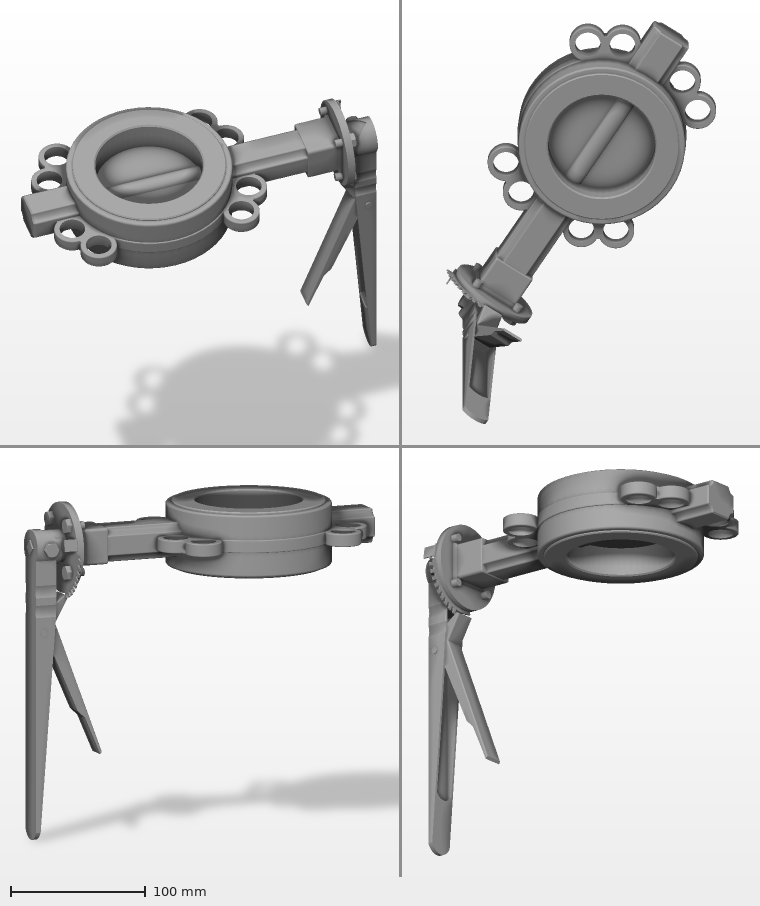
import cadquery as cq
import math


ring_dia = 123.5
ring_half_height = 23.3
ring_round = 1.5
seat_face_dia = 114.5
seat_face_half_height = 25.0
seat_face_chamfer = 0.8
bore_dia = 80.0
bore_chamfer = 1.0
band_dia = 125.5
band_half_height = 5.0
band_round = 0.8

lug_dia = 27.0
lug_hole_dia = 19.0
lug_edge_round = 0.95
lug_circle_radius = 74.0
lug_angles = (49, 69)
lug_web_radius = 79.0

neck_width = 31.0
neck_height = 26.0
neck_corner_groove = 5.5
neck_edge_round = 1.0
boss_end_chamfer = 1.0
boss_end_y = -95.5
block_start_y = 119.0
block_width = 32.5
block_height = 27.5
block_edge_round = 2.2
block_front_round = 1.0
block_foot_spread = 1.5
block_foot_height = 2.5
flange_dia = 65.0
flange_thickness = 4.5
flange_back_y = 145.0
flange_front_y = flange_back_y + flange_thickness

disc_thickness = 6.0
disc_bar_dia = 15.0
stem_dia = 11.7
stem_square = 8.0
stem_end_y = 175.5

plate_thickness = 1.0
plate_front_y = flange_front_y + plate_thickness
plate_rim_radius = 35.2
tooth_tip_radius = 39.5
notch_dia = 2.7
notch_centre_radius = 36.9
notch_pitch = 8.0
notch_count = 9
teeth_start_angle = 182
teeth_end_angle = 256
plate_rim_end_angle = 284
tab_angle = 170
tab_radius = 32.8
tab_width = 9.0
tab_end_y = 160.7
tab_root_radius = 34.1
tab_root_half_angle = 9

bolt_dia = 6.0
bolt_head_flats = 10.0
bolt_head_height = 4.0
bolt_head_chamfer = 0.5
bolt_head_turn = 15
flange_bolt_length = 11.0
bolt_spacing = 35.2

hub_dia = 27.0
hub_front_y = 174.5
hub_back_y = 154.5
collar_dia = 24.7
hub_window_width = 22.8
hub_window_side_y = 159.3
hub_window_peak_y = 170.2
handle_width = 20.5
handle_depth = 16.8
handle_end_z = -220.0
handle_taper_start_z = -42.3
handle_tip_thickness = 3.3
handle_back_y = hub_front_y - handle_depth
handle_floor_y = hub_front_y - handle_tip_thickness
handle_tip_arc_height = 6.8
handle_edge_round = 1.0
grip_depth = 1.0
grip_height = 9.2
grip_centres_z = (-32.0, -47.0)
channel_width = 16.8
channel_top_z = -32.5
channel_end_z = -178.3
channel_arc_height = 4.3
clamp_bolt_y = 164.2

trigger_width = 15.7
trigger_edge_round = 1.0
pivot_dia = 5.0
pivot_length = 22.2
pivot_y = 168.3
pivot_z = -63.1

flange_bolt_places = [
    (side_x * bolt_spacing / 2, side_z * bolt_spacing / 2)
    for side_x in (-1, 1)
    for side_z in (-1, 1)
]


def disc_along_z(diameter, half_height):
    """Cylinder on the flow axis, centred on the XY plane."""
    return cq.Workplane("XY", origin=(0, 0, -half_height)).circle(diameter / 2).extrude(2 * half_height)


def section_at(y):
    """Sketch plane across the stem axis; a negative extrusion runs towards +Y."""
    return cq.Workplane("XZ", origin=(0, y, 0))


def rod_along_y(diameter, start_y, end_y):
    return section_at(start_y).circle(diameter / 2).extrude(start_y - end_y)


def polar(radius, angle):
    turn = math.radians(angle)
    return (radius * math.cos(turn), radius * math.sin(turn))


def draw_sector(plane, radius, start_angle, end_angle):
    """Closed pie-shaped outline with its tip on the axis."""
    return (
        plane.lineTo(*polar(radius, start_angle))
        .threePointArc(
            polar(radius, (start_angle + end_angle) / 2),
            polar(radius, end_angle),
        )
        .close()
    )


def ring():
    body = disc_along_z(ring_dia, ring_half_height).edges("%CIRCLE").fillet(ring_round)
    seat = disc_along_z(seat_face_dia, seat_face_half_height).edges("%CIRCLE").chamfer(seat_face_chamfer)
    band = disc_along_z(band_dia, band_half_height).edges("%CIRCLE").fillet(band_round)
    return body.union(seat).union(band)


def lug_group():
    """Four lugs on the +Y side, joined by a web, with their holes still closed."""
    bottom = cq.Workplane("XY", origin=(0, 0, -band_half_height))
    web = draw_sector(bottom, lug_web_radius, lug_angles[0], 180 - lug_angles[0])
    web = web.extrude(2 * band_half_height)
    for angle in lug_angles:
        for place in (polar(lug_circle_radius, angle), polar(lug_circle_radius, 180 - angle)):
            lug = disc_along_z(lug_dia, band_half_height).edges("%CIRCLE").fillet(lug_edge_round)
            web = web.union(lug.translate((*place, 0)))
    return web


def lug_holes():
    places = []
    for angle in lug_angles:
        for turn in (angle, 180 - angle, 180 + angle, -angle):
            places.append(polar(lug_circle_radius, turn))
    return (
        cq.Workplane("XY", origin=(0, 0, -band_half_height))
        .pushPoints(places).circle(lug_hole_dia / 2)
        .extrude(2 * band_half_height)
    )


def neck():
    """Bar along Y whose four corners are hollowed by round grooves."""
    length = block_start_y - boss_end_y
    bar = section_at(boss_end_y).rect(neck_width, neck_height).extrude(-length)
    grooves = (
        section_at(boss_end_y)
        .rect(neck_width, neck_height, forConstruction=True).vertices()
        .circle(neck_corner_groove).extrude(-length)
    )
    bar = bar.cut(grooves).edges("|Y").fillet(neck_edge_round)
    return bar.faces("<Y").edges().chamfer(boss_end_chamfer)


def block_and_flange():
    block = (
        section_at(block_start_y).rect(block_width, block_height)
        .extrude(block_start_y - flange_back_y)
        .edges("|Y").fillet(block_edge_round)
        .faces("<Y").edges().fillet(block_front_round)
    )
    flange = rod_along_y(flange_dia, flange_back_y, flange_front_y)
    foot_slope = math.degrees(math.atan2(block_foot_spread, block_foot_height))
    foot = (
        section_at(flange_back_y)
        .rect(block_width + 2 * block_foot_spread, block_height + 2 * block_foot_spread)
        .extrude(block_foot_height, taper=foot_slope)
    )
    return flange.union(block).union(foot)


def flange_bolt_holes():
    return (
        section_at(plate_front_y).pushPoints(flange_bolt_places).circle(bolt_dia / 2)
        .extrude(flange_bolt_length)
    )


def make_housing():
    lugs = lug_group()
    body = ring().union(lugs).union(lugs.mirror("XZ")).union(neck()).union(block_and_flange())
    bore = disc_along_z(bore_dia, seat_face_half_height)
    for side in (-1, 1):
        mouth = cq.Workplane(
            cq.Solid.makeCone(
                bore_dia / 2,
                bore_dia / 2 + bore_chamfer,
                bore_chamfer,
                pnt=cq.Vector(0, 0, side * (seat_face_half_height - bore_chamfer)),
                dir=cq.Vector(0, 0, side),
            )
        )
        bore = bore.union(mouth)
    stem_hole = rod_along_y(stem_dia, 0, flange_front_y)
    return body.cut(bore).cut(stem_hole).cut(lug_holes()).cut(flange_bolt_holes())


def square_stem(start_y, end_y):
    return (
        section_at(start_y).rect(stem_square, stem_square).extrude(start_y - end_y)
        .rotate((0, 0, 0), (0, 1, 0), 45)
    )


def make_disc():
    plate = disc_along_z(bore_dia, disc_thickness / 2)
    bar = rod_along_y(disc_bar_dia, -bore_dia / 2, bore_dia / 2)
    bar = bar.intersect(disc_along_z(bore_dia, disc_bar_dia))
    stem = rod_along_y(stem_dia, 0, flange_front_y)
    return plate.union(bar).union(stem).union(square_stem(flange_front_y, stem_end_y))


def plate_sector(radius, start_angle, end_angle):
    return draw_sector(section_at(flange_front_y), radius, start_angle, end_angle).extrude(-plate_thickness)


def tooth_notches():
    """Round-bottomed slots, open at the tooth tips."""
    slot = (
        section_at(flange_front_y)
        .center(notch_centre_radius + notch_dia, 0)
        .slot2D(3 * notch_dia, notch_dia)
        .extrude(-plate_thickness)
    )
    first_angle = teeth_start_angle + notch_pitch / 2
    notches = [
        slot.rotate((0, 0, 0), (0, 1, 0), -(first_angle + index * notch_pitch)).val()
        for index in range(notch_count)
    ]
    return cq.Workplane(cq.Compound.makeCompound(notches))


def make_plate():
    plate = rod_along_y(flange_dia, flange_front_y, plate_front_y)
    plate = plate.union(plate_sector(plate_rim_radius, teeth_start_angle, plate_rim_end_angle))
    plate = plate.union(plate_sector(tooth_tip_radius, teeth_start_angle, teeth_end_angle))
    plate = plate.cut(tooth_notches())
    plate = plate.union(
        plate_sector(tab_root_radius, tab_angle - tab_root_half_angle, tab_angle + tab_root_half_angle)
    )
    tab = (
        section_at(flange_front_y).center(tab_radius, 0).rect(plate_thickness, tab_width)
        .extrude(flange_front_y - tab_end_y)
        .rotate((0, 0, 0), (0, 1, 0), -tab_angle)
    )
    plate = plate.union(tab)
    return plate.cut(square_stem(flange_front_y, plate_front_y)).cut(flange_bolt_holes())


def make_bolt(length):
    """Hexagon bolt on the Z axis: the head stands on Z = 0, the shank runs down."""
    head_corners = bolt_head_flats / math.cos(math.radians(30))
    head_blank = (
        cq.Workplane("XY").circle(head_corners / 2).extrude(bolt_head_height)
        .faces(">Z").edges().chamfer(bolt_head_chamfer, (head_corners - bolt_head_flats) / 2)
    )
    head = cq.Workplane("XY").polygon(6, head_corners).extrude(bolt_head_height).intersect(head_blank)
    return head.union(cq.Workplane("XY").circle(bolt_dia / 2).extrude(-length))


def make_flange_bolts():
    bolt = (
        make_bolt(flange_bolt_length)
        .rotate((0, 0, 0), (0, 0, 1), bolt_head_turn)
        .rotate((0, 0, 0), (1, 0, 0), -90)
    )
    return [bolt.translate((x, plate_front_y, z)) for x, z in flange_bolt_places]


def make_clamp_bolt():
    """Bolt through the -X side of the hub, ending at the corner of the square stem."""
    length = hub_dia / 2 - stem_square / math.sqrt(2)
    bolt = (
        make_bolt(length)
        .rotate((0, 0, 0), (0, 0, 1), 90)
        .rotate((0, 0, 0), (0, 1, 0), -90)
    )
    return bolt.translate((-hub_dia / 2, clamp_bolt_y, 0))


def hub():
    """Round hub with a pointed window in its top that opens onto a thinner collar."""
    outer = rod_along_y(hub_dia, hub_back_y, hub_front_y)
    half = hub_window_width / 2
    window = (
        cq.Workplane("XY")
        .moveTo(-half, hub_back_y)
        .lineTo(-half, hub_window_side_y)
        .lineTo(0, hub_window_peak_y)
        .lineTo(half, hub_window_side_y)
        .lineTo(half, hub_back_y)
        .close()
        .extrude(hub_dia / 2)
    )
    return outer.cut(window).union(rod_along_y(collar_dia, plate_front_y, hub_front_y))


def rounded_end(width, end_z, arc_height, start_y, end_y, top_z):
    """Straight-sided strip along Z whose lower end is an arc."""
    half = width / 2
    return (
        section_at(start_y)
        .moveTo(-half, top_z)
        .lineTo(-half, end_z + arc_height)
        .threePointArc((0, end_z), (half, end_z + arc_height))
        .lineTo(half, top_z)
        .close()
        .extrude(start_y - end_y)
    )


def grip_hollows():
    """Shallow round hollows in both side faces of the arm."""
    radius = (grip_height ** 2 / 4 + grip_depth ** 2) / (2 * grip_depth)
    offset = handle_width / 2 - grip_depth + radius
    places = [(side * offset, z) for side in (-1, 1) for z in grip_centres_z]
    return section_at(handle_back_y).pushPoints(places).circle(radius).extrude(-handle_depth)


def arm():
    """Straight upper arm and tapered lower arm, hollowed by a channel open towards -Y."""
    upper = (
        section_at(handle_back_y)
        .center(0, handle_taper_start_z / 2)
        .rect(handle_width, -handle_taper_start_z)
        .extrude(-handle_depth)
        .faces("<Y").edges("|Z").fillet(handle_edge_round)
    )
    lower_profile = (
        cq.Workplane("YZ")
        .moveTo(hub_front_y, handle_taper_start_z)
        .lineTo(hub_front_y, handle_end_z)
        .lineTo(handle_floor_y, handle_end_z)
        .lineTo(handle_back_y, handle_taper_start_z)
        .close()
        .extrude(handle_width / 2, both=True)
    )
    lower = lower_profile.intersect(
        rounded_end(handle_width, handle_end_z, handle_tip_arc_height, handle_back_y, hub_front_y, 0)
    )
    channel = rounded_end(
        channel_width, channel_end_z, channel_arc_height, handle_back_y, handle_floor_y, channel_top_z
    )
    return upper.union(lower).cut(grip_hollows()).cut(channel)


def make_handle():
    body = hub().union(arm())
    clamp_hole = (
        cq.Workplane("YZ").center(clamp_bolt_y, 0).circle(bolt_dia / 2).extrude(-hub_dia / 2)
    )
    return (
        body.cut(square_stem(plate_front_y, hub_front_y))
        .cut(clamp_hole)
        .cut(pivot(handle_width))
    )


def pivot(length):
    return (
        cq.Workplane("YZ").center(pivot_y, pivot_z).circle(pivot_dia / 2)
        .extrude(length / 2, both=True)
    )


def make_trigger():
    """Solid lever with a catch at the top and the finger grip below, on its own pivot."""
    lever = (
        cq.Workplane("YZ")
        .moveTo(150.0, -35.8)
        .lineTo(147.5, -37.7)
        .lineTo(158.0, -56.6)
        .lineTo(120.5, -155.8)
        .lineTo(122.0, -158.0)
        .lineTo(134.1, -129.8)
        .lineTo(140.0, -124.0)
        .lineTo(165.5, -66.0)
        .lineTo(171.3, -66.0)
        .lineTo(171.3, -59.5)
        .lineTo(157.5, -41.5)
        .close()
        .extrude(trigger_width / 2, both=True)
    )
    rounded_faces = (
        cq.NearestToPointSelector((0, 139.3, -106.2))
        + cq.NearestToPointSelector((0, 152.5, -47.2))
        + cq.NearestToPointSelector((0, 154.0, -38.5))
    )
    lever = lever.faces(rounded_faces).edges("not |X").fillet(trigger_edge_round)
    return lever.union(pivot(pivot_length))


housing = make_housing()
disc = make_disc()
plate = make_plate()
flange_bolts = make_flange_bolts()
handle = make_handle()
clamp_bolt = make_clamp_bolt()
trigger = make_trigger()

result = cq.Compound.makeCompound([
    housing.val(),
    disc.val(),
    plate.val(),
    *[bolt.val() for bolt in flange_bolts],
    handle.val(),
    clamp_bolt.val(),
    trigger.val(),
])